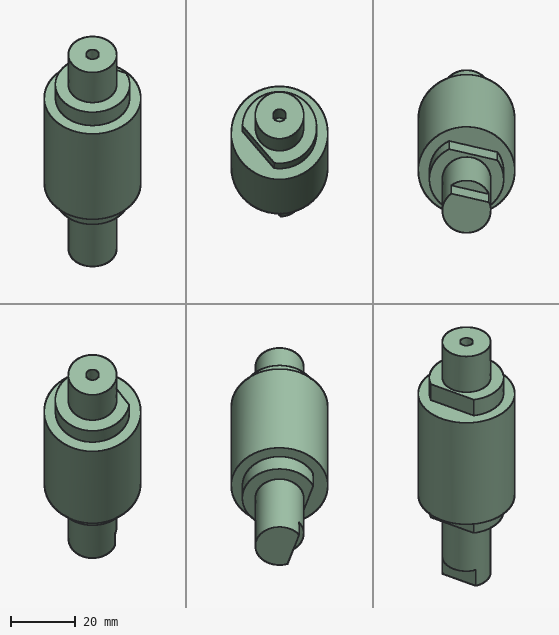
import cadquery as cq

total_length = 90.0
journal_diameter = 15.0
lower_journal_length = 24.0
collar_diameter = 23.0
collar_length = 6.2
collar_flat_offset = 8.55
body_diameter = 30.0
body_length = 39.6
end_flat_offset = 4.5
end_flat_length = 6.2
bore_diameter = 4.0
bore_depth = 10.0

body_bottom = lower_journal_length + collar_length
body_top = body_bottom + body_length


def cylinder(diameter, bottom, length):
    return cq.Workplane("XY").workplane(offset=bottom).circle(diameter / 2).extrude(length)


def flatted_cylinder(diameter, bottom, length, flat_offset):
    """Cylinder with everything beyond flat_offset in +Y removed."""
    waste = (
        cq.Workplane("XY")
        .box(diameter, diameter, length, centered=(True, False, False))
        .translate((0, flat_offset, bottom))
    )
    return cylinder(diameter, bottom, length).cut(waste)


flatted_end = flatted_cylinder(journal_diameter, 0, end_flat_length, end_flat_offset)
round_journal = cylinder(journal_diameter, end_flat_length, total_length - end_flat_length)
result = flatted_end.union(round_journal)

result = result.union(cylinder(body_diameter, body_bottom, body_length))
for collar_bottom in (lower_journal_length, body_top):
    collar = flatted_cylinder(collar_diameter, collar_bottom, collar_length, collar_flat_offset)
    result = result.union(collar)

result = result.cut(cylinder(bore_diameter, total_length - bore_depth, bore_depth))